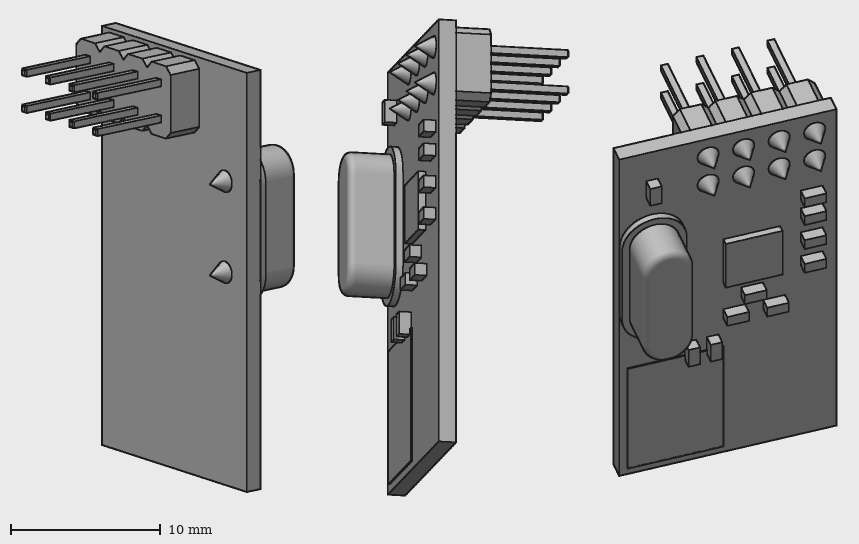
import cadquery as cq

BOARD_WIDTH = 15.3
BOARD_HEIGHT = 29.0
BOARD_THICKNESS = 1.2

HEADER_COLUMNS = 4
HEADER_ROWS = 2
HEADER_LENGTH = 10.0
HEADER_DEPTH = 2.46
HEADER_INSET = 0.3
HEADER_CHAMFER = 0.5
PIN_PITCH = HEADER_LENGTH / HEADER_COLUMNS
HEADER_HEIGHT = HEADER_ROWS * PIN_PITCH
PIN_WIDTH = 0.5
PIN_REACH = 8.0
PIN_TIP_CHAMFER = 0.1

SOLDER_DIAMETER = 1.5
SOLDER_HEIGHT = 1.3

CRYSTAL_X = 13.0
CRYSTAL_Z = 17.85
CRYSTAL_WIDTH = 3.5
CRYSTAL_HEIGHT = 3.6
CRYSTAL_LEAD_SPACING = 6.3
CRYSTAL_FILLET = 0.5
FLANGE_MARGIN = 0.52
FLANGE_THICKNESS = 0.5

CHIP_SIDE = 4.0
CHIP_THICKNESS = 0.5
CHIP_LEFT = 3.97
CHIP_BOTTOM = 15.5
CHIP_RIGHT = CHIP_LEFT + CHIP_SIDE

SMALL_LENGTH = 1.55
SMALL_WIDTH = 0.8
SMALL_THICKNESS = 0.8
LEFT_COLUMN = 1.0
UPPER_ROW = 13.9
LOWER_ROW = 12.27
FLAT_PLACES = [
    (LEFT_COLUMN, 21.5),
    (LEFT_COLUMN, 19.86),
    (LEFT_COLUMN, 17.65),
    (LEFT_COLUMN, CHIP_BOTTOM),
    (5.2, UPPER_ROW),
    (3.62, LOWER_ROW),
    (CHIP_RIGHT - SMALL_LENGTH, LOWER_ROW),
]
MATCHING_BOTTOM = 9.35
UPRIGHT_PLACES = [
    (8.32, MATCHING_BOTTOM),
    (9.9, MATCHING_BOTTOM),
    (CRYSTAL_X - SMALL_WIDTH / 2, 24.9),
]

ANTENNA_INSET = 0.58
ANTENNA_HEIGHT = 9.14
ANTENNA_THICKNESS = 0.1
ANTENNA_WIDTH = BOARD_WIDTH - ANTENNA_INSET - CHIP_RIGHT


def block(left, bottom, width, height, start_y, depth):
    """Box with its lower left corner at (left, bottom), reaching from start_y towards +Y."""
    return cq.Workplane("XY").box(width, depth, height, centered=False).translate((left, start_y, bottom))


def back_block(left, bottom, width, height, thickness):
    """Box lying on the back face of the board."""
    return block(left, bottom, width, height, BOARD_THICKNESS, thickness)


def solder_cone(x, z, base_y, direction):
    """Cone with its base at base_y, pointing along +Y (direction 1) or -Y (direction -1)."""
    cone = cq.Solid.makeCone(
        SOLDER_DIAMETER / 2, 0, SOLDER_HEIGHT, cq.Vector(x, base_y, z), cq.Vector(0, direction, 0)
    )
    return cq.Workplane(obj=cone)


def header_segment(column):
    """One column of the header housing, with its four upright corners cut off."""
    left = HEADER_INSET + column * PIN_PITCH
    bottom = BOARD_HEIGHT - HEADER_INSET - HEADER_HEIGHT
    segment = block(left, bottom, PIN_PITCH, HEADER_HEIGHT, -HEADER_DEPTH, HEADER_DEPTH)
    return segment.edges("|Y").chamfer(HEADER_CHAMFER)


def header_pin(x, z):
    """Square pin with a chamfered tip, centred on (x, z)."""
    half = PIN_WIDTH / 2
    pin = block(x - half, z - half, PIN_WIDTH, PIN_WIDTH, -PIN_REACH, PIN_REACH)
    return pin.faces("<Y").chamfer(PIN_TIP_CHAMFER)


def crystal_slab(width, thickness):
    """Upright slab with round ends, raised from the back face around the crystal leads."""
    plane = cq.Workplane("XZ", origin=(CRYSTAL_X, BOARD_THICKNESS, CRYSTAL_Z))
    return plane.slot2D(CRYSTAL_LEAD_SPACING + width, width, 90).extrude(-thickness)


result = block(0, 0, BOARD_WIDTH, BOARD_HEIGHT, 0, BOARD_THICKNESS)

for column in range(HEADER_COLUMNS):
    result = result.union(header_segment(column))
    pin_x = HEADER_INSET + (column + 0.5) * PIN_PITCH
    for row in range(HEADER_ROWS):
        pin_z = BOARD_HEIGHT - HEADER_INSET - (row + 0.5) * PIN_PITCH
        result = result.union(header_pin(pin_x, pin_z))
        result = result.union(solder_cone(pin_x, pin_z, BOARD_THICKNESS, 1))

result = result.union(crystal_slab(CRYSTAL_WIDTH + 2 * FLANGE_MARGIN, FLANGE_THICKNESS))
result = result.union(crystal_slab(CRYSTAL_WIDTH, CRYSTAL_HEIGHT).faces(">Y").edges().fillet(CRYSTAL_FILLET))
for side in (-1, 1):
    lead_z = CRYSTAL_Z + side * CRYSTAL_LEAD_SPACING / 2
    result = result.union(solder_cone(CRYSTAL_X, lead_z, 0, -1))

result = result.union(
    back_block(CHIP_RIGHT, ANTENNA_INSET, ANTENNA_WIDTH, ANTENNA_HEIGHT, ANTENNA_THICKNESS)
)
result = result.union(back_block(CHIP_LEFT, CHIP_BOTTOM, CHIP_SIDE, CHIP_SIDE, CHIP_THICKNESS))
for left, bottom in FLAT_PLACES:
    result = result.union(back_block(left, bottom, SMALL_LENGTH, SMALL_WIDTH, SMALL_THICKNESS))
for left, bottom in UPRIGHT_PLACES:
    result = result.union(back_block(left, bottom, SMALL_WIDTH, SMALL_LENGTH, SMALL_THICKNESS))